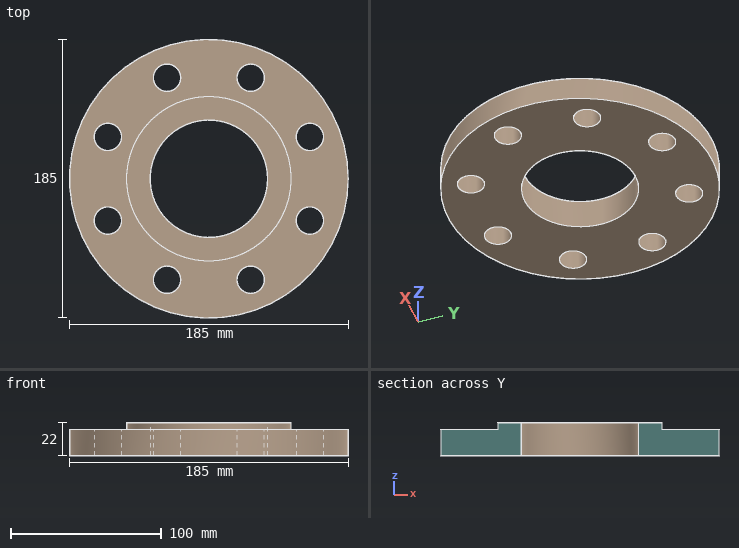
import cadquery as cq

flange_diameter = 185.0
total_height = 22.0
face_height = 4.5
flange_thickness = total_height - face_height

face_diameter = 109.2
bore_diameter = 77.7

bolt_count = 8
bolt_circle_diameter = 145.0
bolt_hole_diameter = 18.0
first_bolt_angle = 360 / bolt_count / 2

flange = cq.Workplane("XY").circle(flange_diameter / 2).extrude(flange_thickness)
raised_face = (
    cq.Workplane("XY")
    .workplane(offset=flange_thickness)
    .circle(face_diameter / 2)
    .extrude(face_height)
)
bore = cq.Workplane("XY").circle(bore_diameter / 2).extrude(total_height)
bolt_holes = (
    cq.Workplane("XY")
    .polarArray(bolt_circle_diameter / 2, first_bolt_angle, 360, bolt_count)
    .circle(bolt_hole_diameter / 2)
    .extrude(flange_thickness)
)

result = flange.union(raised_face).cut(bore).cut(bolt_holes)